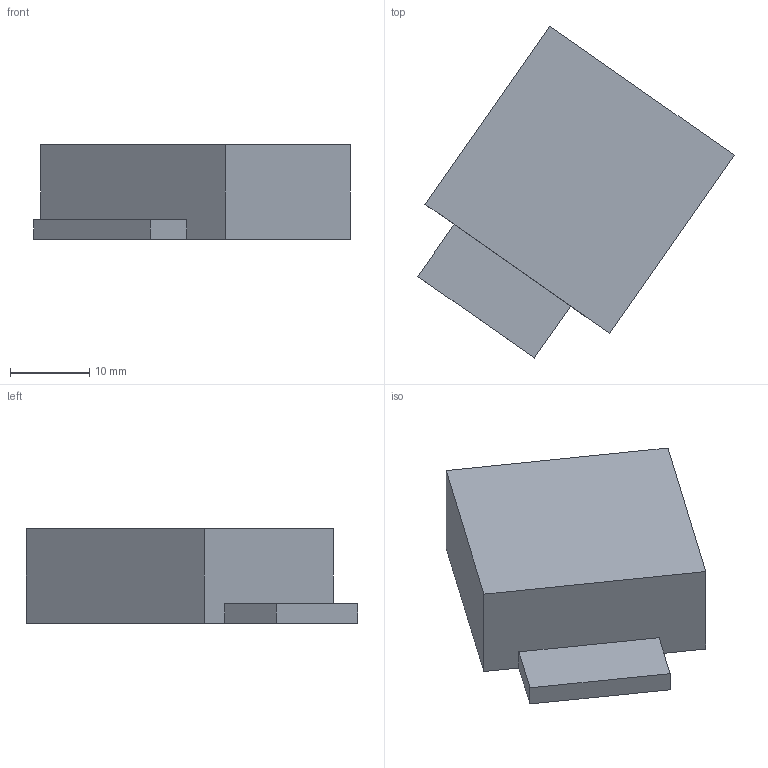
import cadquery as cq

block_width = 28.5
block_depth = 27.5
block_height = 12.0

tab_width = 18.0
tab_length = 8.0
tab_thickness = 2.5
tab_side_offset = 4.5

turn_angle = -35.0


def make_block():
    """Block with its front left bottom corner at the origin."""
    return cq.Workplane("XY").box(block_width, block_depth, block_height, centered=False)


def make_tab():
    """Tab reaching forward from the block's front face."""
    return (
        cq.Workplane("XY")
        .box(tab_width, tab_length, tab_thickness, centered=False)
        .translate((tab_side_offset, -tab_length, 0))
    )


block_center_offset = (-block_width / 2, -block_depth / 2, 0)
result = (
    make_block()
    .union(make_tab())
    .translate(block_center_offset)
    .rotate((0, 0, 0), (0, 0, 1), turn_angle)
)